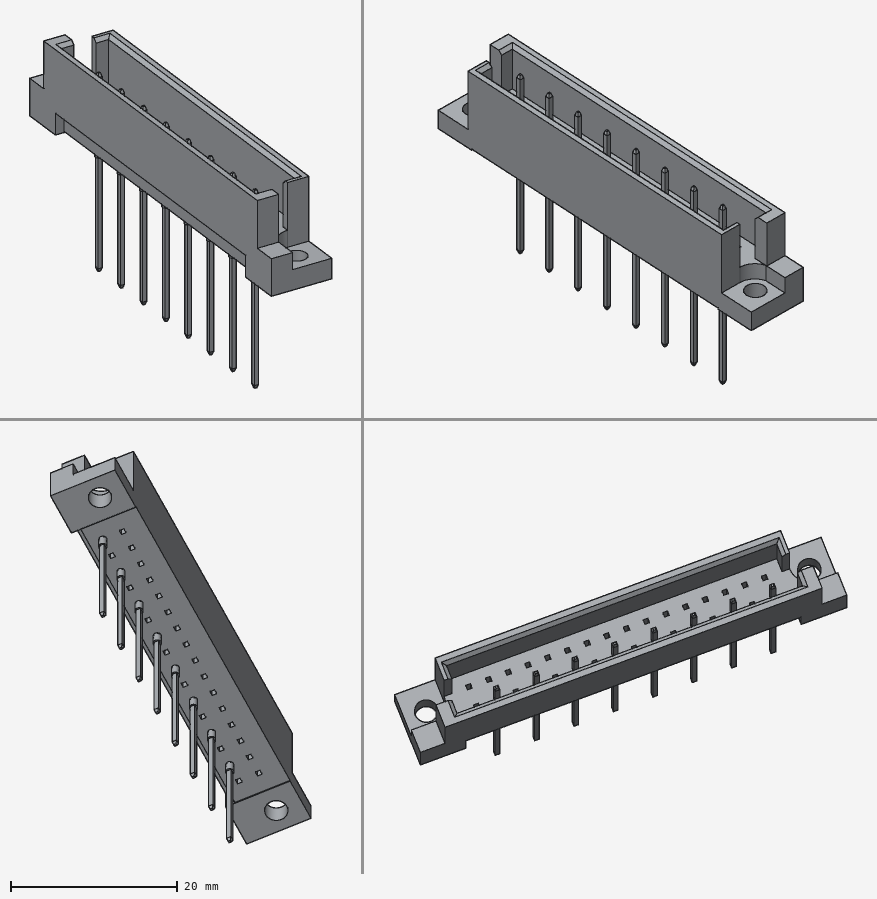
import cadquery as cq

LENGTH = 55.0
DEPTH = 8.6
HEIGHT = 11.6

FLANGE_HEIGHT = 2.8
BASE_HEIGHT = 5.1
FRONT_WALL_SETBACK = 3.2
BACK_WALL_SETBACK = 5.2
END_WALL_DEPTH = 3.0

WALL = 1.25
SOCKET_FRONT_LENGTH = 44.55
SOCKET_BACK_LENGTH = 42.55
LEAD_IN = 0.5

CLEARANCE_RADIUS = 2.65

HOLE_DIAMETER = 2.8
HOLE_INSET = 2.8
HOLE_Y = 5.3

FOOT_LENGTH = 5.9
RECESS_HEIGHT = 2.95
RECESS_DEPTH = 1.2
FOOT_HEIGHT = 0.15

PITCH = 2.54
COLUMNS = 16
FRONT_ROW_Y = 2.95
ROW_SPACING = 2.65

PIN_WIDTH = 0.6
PIN_TOP = 9.95
PIN_BOTTOM = -17.0
TIP_LENGTH = 0.5
TIP_WIDTH = 0.3
COLLAR_DIAMETER = 1.0
COLLAR_LENGTH = 1.6

COLUMN_XS = [(column - (COLUMNS - 1) / 2) * PITCH for column in range(COLUMNS)]
PIN_XS = COLUMN_XS[1::2]


def box(x_min, x_max, y_min, y_max, z_min, z_max):
    """Axis-aligned box between two opposite corners."""
    size = (x_max - x_min, y_max - y_min, z_max - z_min)
    return cq.Workplane("XY").box(*size, centered=False).translate((x_min, y_min, z_min))


def centred_box(length, y_min, y_max, z_min, z_max):
    """Box centred on X = 0."""
    return box(-length / 2, length / 2, y_min, y_max, z_min, z_max)


def blank():
    """Base block with the front and back walls standing on it."""
    front_wall_length = LENGTH - 2 * FRONT_WALL_SETBACK
    back_wall_length = LENGTH - 2 * BACK_WALL_SETBACK
    base = centred_box(LENGTH, 0, DEPTH, 0, BASE_HEIGHT)
    front = centred_box(front_wall_length, 0, END_WALL_DEPTH, BASE_HEIGHT, HEIGHT)
    back = centred_box(back_wall_length, END_WALL_DEPTH, DEPTH, BASE_HEIGHT, HEIGHT)
    return base.union(front).union(back)


def end_gaps():
    """Opening between the front and back end returns, through both ends."""
    return centred_box(LENGTH, END_WALL_DEPTH, DEPTH - END_WALL_DEPTH, BASE_HEIGHT, HEIGHT)


def socket_part(length, y_min, y_max):
    """Straight pocket down to the base, with a 45 degree flare at its mouth."""
    pocket = centred_box(length, y_min, y_max, BASE_HEIGHT, HEIGHT)
    flare = (
        cq.Workplane("XY", origin=(0, (y_min + y_max) / 2, HEIGHT))
        .rect(length + 2 * LEAD_IN, y_max - y_min + 2 * LEAD_IN)
        .workplane(offset=-LEAD_IN)
        .rect(length, y_max - y_min)
        .loft(ruled=True)
    )
    return pocket.union(flare)


def socket():
    """Polarised socket; the two parts meet inside the end gaps."""
    y_middle = DEPTH / 2
    wide = socket_part(SOCKET_FRONT_LENGTH, WALL, y_middle)
    narrow = socket_part(SOCKET_BACK_LENGTH, y_middle, DEPTH - WALL)
    return wide.union(narrow)


def flange_cut():
    """Clearance above the left flange; its round corner starts where the back wall ends."""
    end_x = -LENGTH / 2
    inner_x = end_x + BACK_WALL_SETBACK
    arc_x = inner_x - CLEARANCE_RADIUS
    arc_y = DEPTH - END_WALL_DEPTH
    back = box(end_x, inner_x, arc_y, DEPTH, FLANGE_HEIGHT, BASE_HEIGHT)
    outer = box(end_x, arc_x, END_WALL_DEPTH, arc_y, FLANGE_HEIGHT, BASE_HEIGHT)
    corner = box(arc_x, inner_x, END_WALL_DEPTH, arc_y, FLANGE_HEIGHT, BASE_HEIGHT)
    disc = (
        cq.Workplane("XY", origin=(arc_x, arc_y, FLANGE_HEIGHT))
        .circle(CLEARANCE_RADIUS)
        .extrude(BASE_HEIGHT - FLANGE_HEIGHT)
    )
    return back.union(outer).union(corner.intersect(disc))


def mounting_holes():
    hole_x = LENGTH / 2 - HOLE_INSET
    return (
        cq.Workplane("XY")
        .pushPoints([(-hole_x, HOLE_Y), (hole_x, HOLE_Y)])
        .circle(HOLE_DIAMETER / 2)
        .extrude(BASE_HEIGHT)
    )


def foot_relief():
    """Recess in the front face and raised underside, both between the two feet."""
    length = LENGTH - 2 * FOOT_LENGTH
    front = centred_box(length, 0, RECESS_DEPTH, 0, RECESS_HEIGHT)
    underside = centred_box(length, 0, DEPTH, 0, FOOT_HEIGHT)
    return front.union(underside)


def contact_holes():
    """Two rows of square holes through the base."""
    rows = [FRONT_ROW_Y, FRONT_ROW_Y + ROW_SPACING]
    return (
        cq.Workplane("XY")
        .pushPoints([(x, y) for x in COLUMN_XS for y in rows])
        .rect(PIN_WIDTH, PIN_WIDTH)
        .extrude(BASE_HEIGHT)
    )


def make_housing():
    left_cut = flange_cut()
    return (
        blank()
        .cut(end_gaps())
        .cut(socket())
        .cut(left_cut)
        .cut(left_cut.mirror("YZ"))
        .cut(mounting_holes())
        .cut(foot_relief())
        .cut(contact_holes())
    )


def tip(z_base, length):
    """Tapered pin end that starts at z_base; a negative length points down."""
    return (
        cq.Workplane("XY", origin=(0, 0, z_base))
        .rect(PIN_WIDTH, PIN_WIDTH)
        .workplane(offset=length)
        .rect(TIP_WIDTH, TIP_WIDTH)
        .loft(ruled=True)
    )


def make_pin(x):
    """Square pin with tapered ends and a round collar under the housing."""
    half = PIN_WIDTH / 2
    shank_bottom = PIN_BOTTOM + TIP_LENGTH
    shank_top = PIN_TOP - TIP_LENGTH
    shank = box(-half, half, -half, half, shank_bottom, shank_top)
    collar = (
        cq.Workplane("XY", origin=(0, 0, FOOT_HEIGHT))
        .circle(COLLAR_DIAMETER / 2)
        .extrude(-COLLAR_LENGTH)
    )
    pin = shank.union(collar).union(tip(shank_bottom, -TIP_LENGTH)).union(tip(shank_top, TIP_LENGTH))
    return pin.translate((x, FRONT_ROW_Y, 0))


housing = make_housing()
pins = [make_pin(x) for x in PIN_XS]

result = cq.Compound.makeCompound([housing.val(), *[pin.val() for pin in pins]])